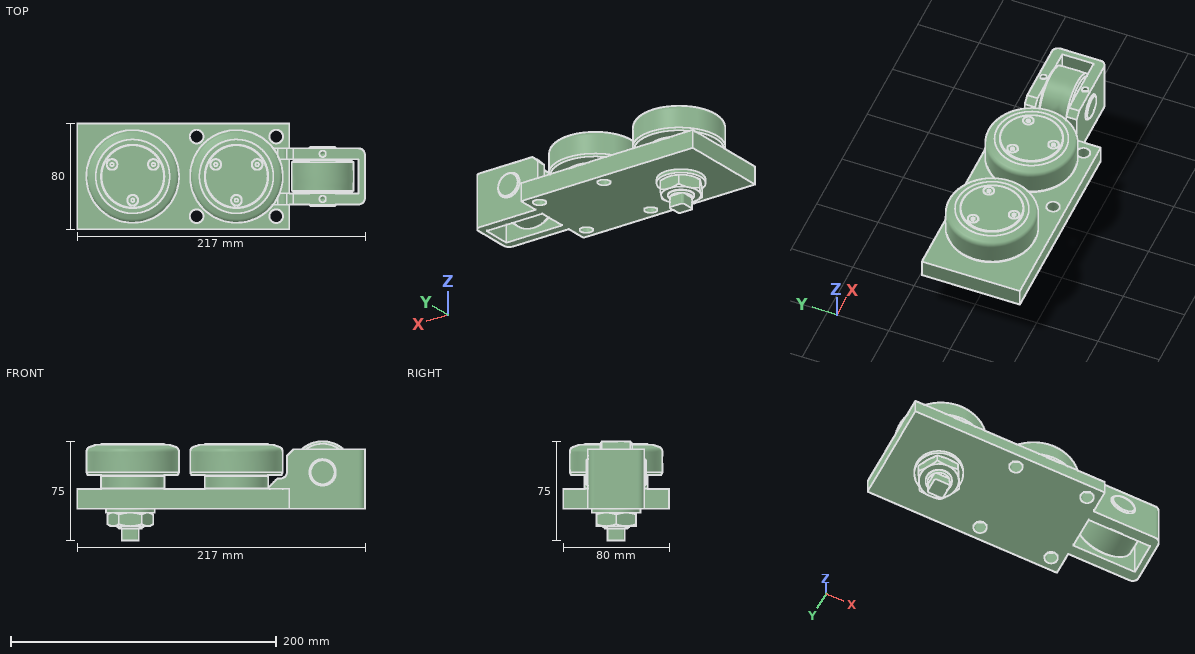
import cadquery as cq
import math

plate_length = 160
plate_width = 80
plate_thickness = 15
mount_hole_diameter = 10.11
mount_hole_spacing = 60
fixed_roller_x = 120

bolt_x = 40
eccentric_offset = 1.8
adjustable_roller_x = bolt_x + eccentric_offset
neck_radius = 48 / 2
neck_relief = 0.4
neck_relief_height = 0.5
neck_groove_height = 0.9
tire_radius = 70 / 2
tire_crown_bulge = 0.06
tire_bottom = plate_thickness + 10.4
tire_top = 48.3
tire_bottom_chamfer_radial = 1
tire_bottom_chamfer_height = 2
tire_shoulder_radius = 4
tire_shoulder_z = 43
tire_cone_angle = math.radians(19)
cap_top = 49
cap_chamfer = 0.5

screw_circle_radius = 18
screw_angles = (30, 150, 270)
screw_recess_diameter = 8.3
screw_head_diameter = 7.8
screw_gap_depth = 2
socket_across_flats = 2.5
socket_depth = 1.5
adjustable_socket_turn = 30
fixed_socket_turn = 0

washer_diameter = 37
washer_thickness = 3
nut_across_flats = 30
nut_height = 10
nut_chamfer_angle = math.radians(30)
thread_diameter = 20
thread_end = 2
thread_chamfer = 1.5
square_end_width = 13.1
square_end_length = 9
square_end_corner = 1.8

bracket_end_x = 217
bracket_front_x = 158
bracket_height = 45
bracket_width = 42.5
bracket_gap = 25.5
bracket_back_wall = 5
bracket_corner_radius = 5
bracket_chamfer = 5
bracket_fillet = 4.6
step_height = 23
step_start_x = 151
pin_hole_diameter = 20.1
set_screw_hole_diameter = 4.92
set_screw_hole_depth = 4
drill_point_angle = math.radians(118)

pin_x = 185
pin_z = 27.5
pin_diameter = 20
pin_length = 45
pin_chamfer = 1
wheel_radius = 23.5
wheel_width = 24
wheel_chamfer_radial = 1.8
wheel_chamfer_width = 1.3
wheel_crown_bulge = 0.15


def base_plate():
    """Plate with four through holes in a square around the fixed roller."""
    plate = cq.Workplane("XY").box(
        plate_length, plate_width, plate_thickness, centered=(False, True, False)
    )
    holes = (
        cq.Workplane("XY")
        .center(fixed_roller_x, 0)
        .rect(mount_hole_spacing, mount_hole_spacing, forConstruction=True)
        .vertices()
        .circle(mount_hole_diameter / 2)
        .extrude(plate_thickness)
    )
    return plate.cut(holes)


def hexagon(across_flats, height):
    """Hexagonal prism on the XY plane with two corners on the X axis."""
    return cq.Workplane("XY").polygon(6, across_flats / math.cos(math.pi / 6)).extrude(height)


def cap_screw_gaps(socket_turn):
    """Ring gap around each cap screw head, and the socket in the head."""
    gap_floor = cap_top - screw_gap_depth
    ring = (
        cq.Workplane("XY")
        .circle(screw_recess_diameter / 2)
        .circle(screw_head_diameter / 2)
        .extrude(screw_gap_depth)
        .translate((0, 0, gap_floor))
    )
    socket = hexagon(socket_across_flats, socket_depth)
    socket = socket.rotate((0, 0, 0), (0, 0, 1), socket_turn)
    one_screw = ring.add(socket.translate((0, 0, cap_top - socket_depth)))
    gaps = cq.Workplane("XY")
    for angle in screw_angles:
        x = screw_circle_radius * math.cos(math.radians(angle))
        y = screw_circle_radius * math.sin(math.radians(angle))
        gaps = gaps.add(one_screw.translate((x, y, 0)))
    return gaps


def roller(center_x, socket_turn):
    """Crowned tire with a rounded shoulder, on a neck that stands on the plate, as one turned shape."""
    relief_radius = neck_radius - neck_relief
    relief_top = plate_thickness + neck_relief_height
    groove_bottom = tire_bottom - neck_groove_height
    crown_bottom = tire_bottom + tire_bottom_chamfer_height
    crown_mid_z = (crown_bottom + tire_shoulder_z) / 2
    shoulder_center_r = tire_radius - tire_shoulder_radius

    def shoulder_point(angle):
        r = shoulder_center_r + tire_shoulder_radius * math.cos(angle)
        z = tire_shoulder_z + tire_shoulder_radius * math.sin(angle)
        return r, z

    shoulder_sweep = math.pi / 2 - tire_cone_angle
    shoulder_end = shoulder_point(shoulder_sweep)
    cone_top_radius = shoulder_end[0] - (tire_top - shoulder_end[1]) / math.tan(tire_cone_angle)

    profile = (
        cq.Workplane("XZ")
        .moveTo(0, plate_thickness)
        .lineTo(relief_radius, plate_thickness)
        .lineTo(relief_radius, relief_top)
        .lineTo(neck_radius, relief_top)
        .lineTo(neck_radius, groove_bottom)
        .lineTo(relief_radius, groove_bottom)
        .lineTo(relief_radius, tire_bottom)
        .lineTo(tire_radius - tire_bottom_chamfer_radial, tire_bottom)
        .lineTo(tire_radius, crown_bottom)
        .threePointArc((tire_radius + tire_crown_bulge, crown_mid_z), (tire_radius, tire_shoulder_z))
        .threePointArc(shoulder_point(shoulder_sweep / 2), shoulder_end)
        .lineTo(cone_top_radius, tire_top)
        .lineTo(neck_radius, tire_top)
        .lineTo(neck_radius, cap_top - cap_chamfer)
        .lineTo(neck_radius - cap_chamfer, cap_top)
        .lineTo(0, cap_top)
        .close()
    )
    body = profile.revolve(360, (0, 0, 0), (0, 1, 0))
    for gap in cap_screw_gaps(socket_turn).vals():
        body = body.cut(cq.Workplane(gap))
    return body.translate((center_x, 0, 0))


def adjusting_bolt():
    """Washer, chamfered hexagon nut, thread end and square key end below the plate."""
    washer = cq.Workplane("XY").circle(washer_diameter / 2).extrude(-washer_thickness)

    flat_radius = nut_across_flats / 2
    corner_radius = flat_radius / math.cos(math.pi / 6)
    chamfer_width = corner_radius - flat_radius
    chamfer_drop = chamfer_width * math.tan(nut_chamfer_angle)
    turned_blank = cq.Workplane("XY").circle(corner_radius).extrude(nut_height)
    turned_blank = turned_blank.faces("<Z or >Z").chamfer(chamfer_drop, chamfer_width)
    nut_bottom = -washer_thickness - nut_height
    nut = hexagon(nut_across_flats, nut_height).intersect(turned_blank).translate((0, 0, nut_bottom))

    thread_bottom = nut_bottom - thread_end
    thread = (
        cq.Workplane("XY", origin=(0, 0, nut_bottom))
        .circle(thread_diameter / 2)
        .extrude(-thread_end)
        .faces("<Z")
        .chamfer(thread_chamfer)
    )
    square_end = (
        cq.Workplane("XY", origin=(0, 0, thread_bottom))
        .rect(square_end_width, square_end_width)
        .extrude(-square_end_length)
        .edges("|Z")
        .fillet(square_end_corner)
    )
    return washer.union(nut).union(thread).union(square_end).translate((bolt_x, 0, 0))


def set_screw_hole():
    """Drilled hole with a conical point, entering the top of a bracket arm."""
    radius = set_screw_hole_diameter / 2
    point_depth = radius / math.tan(drill_point_angle / 2)
    return (
        cq.Workplane("XZ")
        .moveTo(0, 0)
        .lineTo(radius, 0)
        .lineTo(radius, -set_screw_hole_depth)
        .lineTo(0, -set_screw_hole_depth - point_depth)
        .close()
        .revolve(360, (0, 0, 0), (0, 1, 0))
    )


def bracket():
    """U-shaped bracket whose two arms reach back over the plate."""
    fillet_start_x = bracket_front_x - bracket_fillet
    fillet_mid_offset = bracket_fillet * (1 - math.sqrt(0.5))
    toe_x = step_start_x - (step_height - plate_thickness)
    side = (
        cq.Workplane("XZ", origin=(0, bracket_width / 2, 0))
        .moveTo(plate_length, 0)
        .lineTo(bracket_end_x, 0)
        .lineTo(bracket_end_x, bracket_height)
        .lineTo(bracket_front_x + bracket_chamfer, bracket_height)
        .lineTo(bracket_front_x, bracket_height - bracket_chamfer)
        .lineTo(bracket_front_x, step_height + bracket_fillet)
        .threePointArc(
            (bracket_front_x - fillet_mid_offset, step_height + fillet_mid_offset),
            (fillet_start_x, step_height),
        )
        .lineTo(step_start_x, step_height)
        .lineTo(toe_x, plate_thickness)
        .lineTo(plate_length, plate_thickness)
        .close()
        .extrude(bracket_width)
    )
    body = side.edges("|Z and >X").fillet(bracket_corner_radius)

    gap_end_x = bracket_end_x - bracket_back_wall
    gap = cq.Workplane("XY").box(
        gap_end_x, bracket_gap, bracket_height, centered=(False, True, False)
    )
    pin_hole = (
        cq.Workplane("XZ", origin=(pin_x, bracket_width / 2, pin_z))
        .circle(pin_hole_diameter / 2)
        .extrude(bracket_width)
    )
    body = body.cut(gap).cut(pin_hole)

    arm_mid_y = (bracket_width + bracket_gap) / 4
    for y in (-arm_mid_y, arm_mid_y):
        body = body.cut(set_screw_hole().translate((pin_x, y, bracket_height)))
    return body


def make_housing():
    """Plate with both rollers, the adjusting bolt and the bracket, as one body."""
    return (
        base_plate()
        .union(roller(adjustable_roller_x, adjustable_socket_turn))
        .union(roller(fixed_roller_x, fixed_socket_turn))
        .union(adjusting_bolt())
        .union(bracket())
    )


def make_pressure_roller():
    """Crowned wheel on its pin, turning about the Y direction between the bracket arms."""
    half_width = wheel_width / 2
    half_pin = pin_length / 2
    pin_radius = pin_diameter / 2
    side_radius = wheel_radius - wheel_crown_bulge
    crown_half_width = half_width - wheel_chamfer_width
    face_radius = side_radius - wheel_chamfer_radial
    profile = (
        cq.Workplane("XY")
        .moveTo(0, -half_pin)
        .lineTo(pin_radius - pin_chamfer, -half_pin)
        .lineTo(pin_radius, -half_pin + pin_chamfer)
        .lineTo(pin_radius, -half_width)
        .lineTo(face_radius, -half_width)
        .lineTo(side_radius, -crown_half_width)
        .threePointArc((wheel_radius, 0), (side_radius, crown_half_width))
        .lineTo(face_radius, half_width)
        .lineTo(pin_radius, half_width)
        .lineTo(pin_radius, half_pin - pin_chamfer)
        .lineTo(pin_radius - pin_chamfer, half_pin)
        .lineTo(0, half_pin)
        .close()
    )
    return profile.revolve(360, (0, 0, 0), (0, 1, 0)).translate((pin_x, 0, pin_z))


housing = make_housing()
pressure_roller = make_pressure_roller()

result = cq.Compound.makeCompound([housing.val(), pressure_roller.val()])